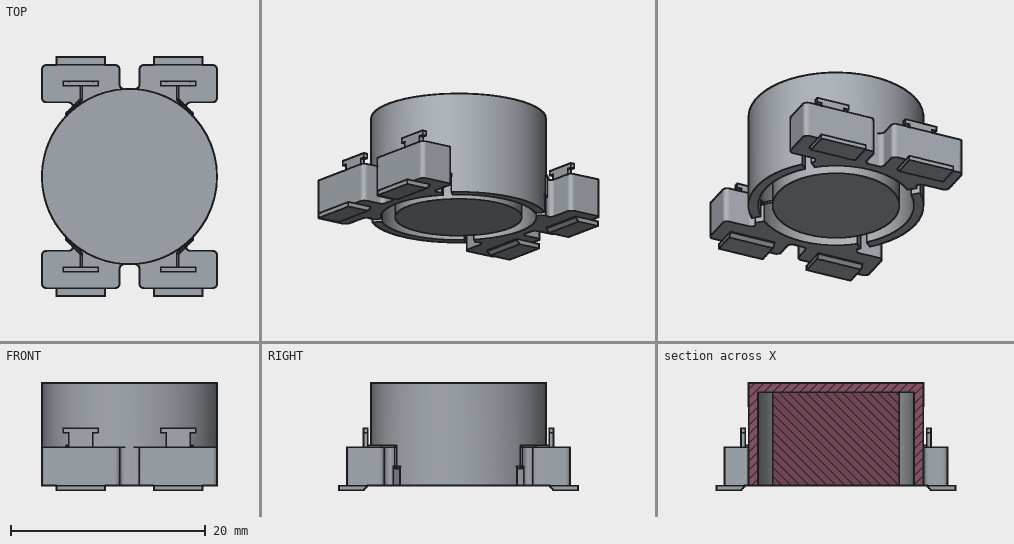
import cadquery as cq
import math


cup_diameter = 18.0
cavity_diameter = 16.0
total_height = 11.05
pad_thickness = 0.5
cup_height = total_height - pad_thickness
cup_radius = cup_diameter / 2
cavity_radius = cavity_diameter / 2
wall_thickness = cup_radius - cavity_radius
cavity_height = cup_height - wall_thickness

total_length = 24.55
block_inner_x = 1.0
block_outer_x = cup_radius
block_inner_y = 7.6
block_outer_y = 11.46
block_height = 3.95
block_edge_radius = 0.5
block_center_x = (block_inner_x + block_outer_x) / 2

post_width = 2.5
post_bar_width = 3.55
post_bar_bottom = 5.4
post_top = 5.9
post_inner_y = 9.3
post_thickness = 0.47
pad_width = 5.0
pad_inner_y = 9.38
pad_chamfer = 0.4
pad_outer_y = total_length / 2

slot_width = 1.0
slot_height = 2.0

core_diameter = 13
lead_diameter = 0.2
lead_x = 4.95
lead_entry_height = 1.85
diagonal_angle = 45


def box(x_range, y_range, z_range):
    """Axis-aligned box given by its limits along X, Y and Z."""
    sizes = [high - low for low, high in (x_range, y_range, z_range)]
    corner = (x_range[0], y_range[0], z_range[0])
    return cq.Workplane("XY").box(*sizes, centered=False).translate(corner)


def centered_range(center, width):
    """Limits of a span of the given width about a center."""
    return (center - width / 2, center + width / 2)


def four_corners(shape):
    """The shape of the +X +Y corner and its mirror copies in the other corners."""
    pair = [shape, shape.mirror("YZ")]
    return pair + [copy.mirror("XZ") for copy in pair]


def fillet_center_offset(wall_distance):
    """Distances of a fillet center from the axis, across and along a flat block wall.

    The fillet circle touches the wall and the outside of the cup.
    """
    across = wall_distance - block_edge_radius
    along = math.sqrt((cup_radius + block_edge_radius) ** 2 - across**2)
    return across, along


def point_on_cup(center):
    """Point where a fillet circle with this center touches the cup."""
    scale = cup_radius / math.hypot(*center)
    return (center[0] * scale, center[1] * scale)


def fillet_middle(center, start, end):
    """Point halfway along the fillet arc between two of its points."""
    dx = (start[0] + end[0]) / 2 - center[0]
    dy = (start[1] + end[1]) / 2 - center[1]
    scale = block_edge_radius / math.hypot(dx, dy)
    return (center[0] + dx * scale, center[1] + dy * scale)


def terminal_block():
    """Block beside the cup, with rounded corners and fillets running into the cup."""
    inner_center_x, inner_center_y = fillet_center_offset(block_inner_x)
    inner_center = (inner_center_x, inner_center_y)
    inner_contact = point_on_cup(inner_center)
    inner_wall = (block_inner_x, inner_center_y)
    side_center_y, side_center_x = fillet_center_offset(block_inner_y)
    side_center = (side_center_x, side_center_y)
    side_contact = point_on_cup(side_center)
    side_wall = (side_center_x, block_inner_y)
    inner_angle = math.atan2(inner_contact[1], inner_contact[0])
    side_angle = math.atan2(side_contact[1], side_contact[0])
    cup_middle_angle = (inner_angle + side_angle) / 2
    cup_middle = (cup_radius * math.cos(cup_middle_angle), cup_radius * math.sin(cup_middle_angle))
    block = (
        cq.Workplane("XY")
        .moveTo(*inner_contact)
        .threePointArc(fillet_middle(inner_center, inner_contact, inner_wall), inner_wall)
        .lineTo(block_inner_x, block_outer_y)
        .lineTo(block_outer_x, block_outer_y)
        .lineTo(block_outer_x, block_inner_y)
        .lineTo(*side_wall)
        .threePointArc(fillet_middle(side_center, side_wall, side_contact), side_contact)
        .threePointArc(cup_middle, inner_contact)
        .close()
        .extrude(block_height)
    )
    corners = [
        (block_inner_x, block_outer_y),
        (block_outer_x, block_outer_y),
        (block_outer_x, block_inner_y),
    ]
    for x, y in corners:
        nearest = cq.selectors.NearestToPointSelector((x, y, block_height / 2))
        block = block.edges("|Z").edges(nearest).fillet(block_edge_radius)
    return block


def terminal_post():
    """T-shaped post standing on a block."""
    post_y = (post_inner_y, post_inner_y + post_thickness)
    stem = box(centered_range(block_center_x, post_width), post_y, (block_height, post_top))
    bar = box(centered_range(block_center_x, post_bar_width), post_y, (post_bar_bottom, post_top))
    return stem.union(bar)


def solder_pad():
    """Flat pad under a block, with a chamfered inner edge."""
    pad = box(centered_range(block_center_x, pad_width), (pad_inner_y, pad_outer_y), (-pad_thickness, 0))
    return pad.edges("<Y and <Z").chamfer(pad_chamfer)


def lead_slot():
    """Diagonal opening through the foot of the cup wall."""
    slot = box((core_diameter / 2, cup_radius), centered_range(0, slot_width), (0, slot_height))
    return slot.rotate((0, 0, 0), (0, 0, 1), diagonal_angle)


def make_housing():
    """Cup with lead slots, four terminal blocks and their terminals."""
    cup = cq.Workplane("XY").circle(cup_radius).extrude(cup_height)
    cavity = cq.Workplane("XY").circle(cavity_radius).extrude(cavity_height)
    housing = cup.cut(cavity)
    for slot in four_corners(lead_slot()):
        housing = housing.cut(slot)
    for corner_part in (terminal_block(), terminal_post(), solder_pad()):
        for copy in four_corners(corner_part):
            housing = housing.union(copy)
    return housing


def lead():
    """Wire from the post across the block, down the cup and in through the slot."""
    top_z = block_height + lead_diameter / 2
    turn_radius = cup_radius + lead_diameter / 2
    turn_x = turn_radius * math.cos(math.radians(diagonal_angle))
    turn_y = turn_radius * math.sin(math.radians(diagonal_angle))
    bend_y = turn_x + turn_y - lead_x
    tip_radius = core_diameter / 2 - lead_diameter
    tip_x = tip_radius * math.cos(math.radians(diagonal_angle))
    tip_y = tip_radius * math.sin(math.radians(diagonal_angle))
    path = cq.Workplane("XY").polyline(
        [
            (lead_x, post_inner_y, top_z),
            (lead_x, bend_y, top_z),
            (turn_x, turn_y, top_z),
            (turn_x, turn_y, lead_entry_height),
            (tip_x, tip_y, lead_entry_height),
        ]
    )
    profile = cq.Workplane("XZ", origin=(lead_x, post_inner_y, top_z)).circle(lead_diameter / 2)
    return profile.sweep(path, transition="round")


def make_wound_core():
    """Round core that fills the height of the cavity, with its four leads."""
    core = cq.Workplane("XY").circle(core_diameter / 2).extrude(cavity_height)
    for copy in four_corners(lead()):
        core = core.union(copy)
    return core


housing = make_housing()
wound_core = make_wound_core()
result = cq.Compound.makeCompound([housing.solids().val(), wound_core.solids().val()])